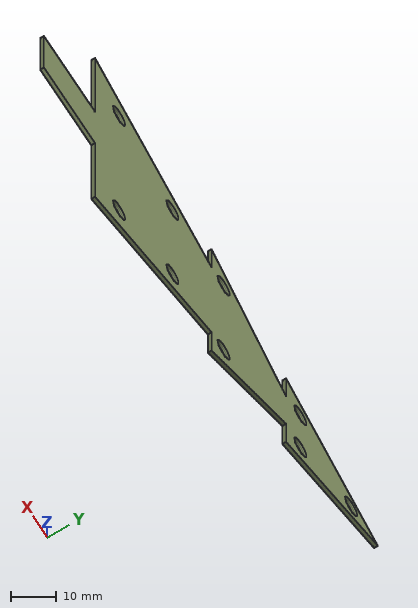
import cadquery as cq

length = 140.0
thickness = 1.0
hole_diameter = 5.0

top_tier_end = 38.5
top_tier_half_width = 18.3
top_notch_half_width = 8.0

middle_tier_end = 69.7
middle_tier_half_width = 29.3
middle_notch_half_width = 18.8

bottom_tier_end = 118.6
bottom_tier_half_width = 80.1 / 2

trunk_half_width = 9.1

tip_hole_x = 11.2
top_hole_pair = (32.5, 9.2)
middle_hole_pair = (64.7, 18.5)
upper_bottom_hole_pair = (86.1, 18.5)
lower_bottom_hole_pair = (108.5, 27.2)
hole_pairs = [top_hole_pair, middle_hole_pair, upper_bottom_hole_pair, lower_bottom_hole_pair]


def make_plate():
    """Extrude the tree outline, centred on the XZ plane."""
    upper_edge = [
        (top_tier_end, top_tier_half_width),
        (top_tier_end, top_notch_half_width),
        (middle_tier_end, middle_tier_half_width),
        (middle_tier_end, middle_notch_half_width),
        (bottom_tier_end, bottom_tier_half_width),
        (bottom_tier_end, trunk_half_width),
    ]
    lower_edge = [(x, -z) for x, z in reversed(upper_edge)]
    trunk_end = [(length, trunk_half_width), (length, -trunk_half_width)]
    outline = [(0, 0)] + upper_edge + trunk_end + lower_edge
    return cq.Workplane("XZ").polyline(outline).close().extrude(thickness / 2, both=True)


def make_holes():
    """Build the cutting cylinders for all the through holes."""
    centres = [(tip_hole_x, 0)]
    for x, offset in hole_pairs:
        centres += [(x, offset), (x, -offset)]
    holes = cq.Workplane("XZ").pushPoints(centres).circle(hole_diameter / 2)
    return holes.extrude(thickness, both=True)


result = make_plate().cut(make_holes())